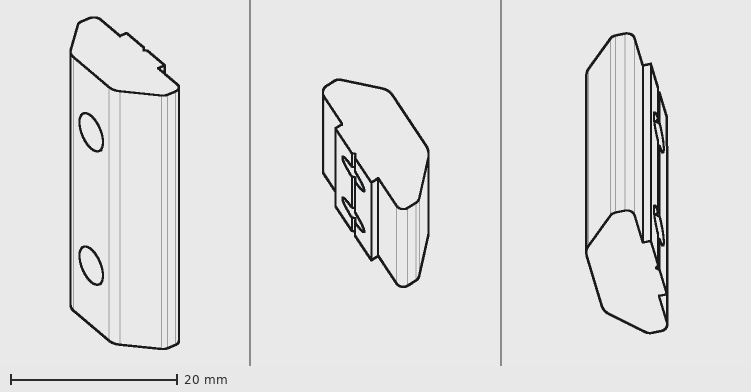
import cadquery as cq

length = 38.0
width = 18.0
depth = 8.0

tongue_width = 7.98
tongue_height = 1.0
flank_run = 4.5
edge_radius = 1.0
nose_radius = 2.0
groove_depth = 0.35

hole_diameter = 4.9
hole_spacing = 20.0

half_width = width / 2
front_y = -depth / 2
back_y = depth / 2
shoulder_y = back_y - tongue_height
flank_top_y = front_y + flank_run
nose_half_width = half_width - flank_run


def prism(points):
    """Extrude a closed XY outline over the full length, centred on Z."""
    return cq.Workplane("XY").polyline(points).close().extrude(length / 2, both=True)


def round_edges(body, x, y, radius):
    """Round the mirrored pair of lengthwise edges at (+x, y) and (-x, y)."""
    for edge_x in (-x, x):
        selector = cq.selectors.NearestToPointSelector((edge_x, y, 0))
        body = body.edges("|Z").edges(selector).fillet(radius)
    return body


body = prism([
    (-nose_half_width, front_y),
    (nose_half_width, front_y),
    (half_width, flank_top_y),
    (half_width, shoulder_y),
    (-half_width, shoulder_y),
    (-half_width, flank_top_y),
])
body = round_edges(body, nose_half_width, front_y, nose_radius)
body = round_edges(body, half_width, flank_top_y, edge_radius)
body = round_edges(body, half_width, shoulder_y, edge_radius)

tongue = cq.Workplane("XY").box(tongue_width, back_y, length).translate((0, back_y / 2, 0))
body = body.union(tongue)

groove = prism([
    (-groove_depth, back_y),
    (0, back_y - groove_depth),
    (groove_depth, back_y),
])
body = body.cut(groove)

holes = (
    cq.Workplane("XZ")
    .pushPoints([(0, -hole_spacing / 2), (0, hole_spacing / 2)])
    .circle(hole_diameter / 2)
    .extrude(depth, both=True)
)

result = body.cut(holes)